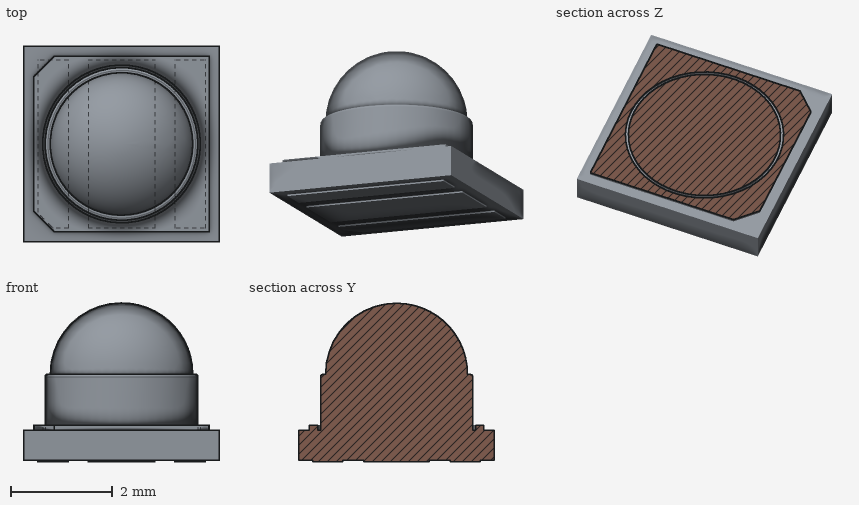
import cadquery as cq

base_side = 3.85
base_height = 0.593

cover_margin = 0.2
cover_side = base_side - 2 * cover_margin
cover_height = 0.1
cover_chamfer = 0.4
cover_clearance = 0.05

barrel_radius = 1.5
barrel_rise = 1.0
rim_fillet = 0.05
dome_radius = 1.4

pad_height = 0.03
pad_length = 3.305
side_pad_width = 0.6
center_pad_width = 1.3
pad_mark_chamfer = 0.3

cover_bottom = pad_height + base_height
cover_top = cover_bottom + cover_height
barrel_top = cover_top + barrel_rise
side_pad_offset = (pad_length - side_pad_width) / 2


def block(width, length, height, bottom):
    return (
        cq.Workplane("XY")
        .workplane(offset=bottom)
        .rect(width, length)
        .extrude(height)
    )


def make_cover():
    plate = block(cover_side, cover_side, cover_height, cover_bottom)
    plate = plate.edges("|Z and <X").chamfer(cover_chamfer)
    opening = (
        cq.Workplane("XY")
        .workplane(offset=cover_bottom)
        .circle(barrel_radius + cover_clearance)
        .extrude(cover_height)
    )
    return plate.cut(opening)


def make_lens():
    barrel = (
        cq.Workplane("XY")
        .workplane(offset=cover_bottom)
        .circle(barrel_radius)
        .extrude(barrel_top - cover_bottom)
        .faces(">Z")
        .edges()
        .fillet(rim_fillet)
    )
    dome = (
        cq.Workplane("XZ")
        .moveTo(0, barrel_top)
        .lineTo(dome_radius, barrel_top)
        .radiusArc((0, barrel_top + dome_radius), -dome_radius)
        .close()
        .revolve(360, (0, 0, 0), (0, 1, 0))
    )
    return barrel.union(dome)


def make_pads():
    side_pad = block(side_pad_width, pad_length, pad_height, 0)
    marked_pad = side_pad.edges("|Z and <X and <Y").chamfer(pad_mark_chamfer)
    center_pad = block(center_pad_width, pad_length, pad_height, 0)
    return (
        center_pad
        .union(marked_pad.translate((-side_pad_offset, 0, 0)))
        .union(side_pad.translate((side_pad_offset, 0, 0)))
    )


substrate = block(base_side, base_side, base_height, pad_height)
result = substrate.union(make_cover()).union(make_lens()).union(make_pads())